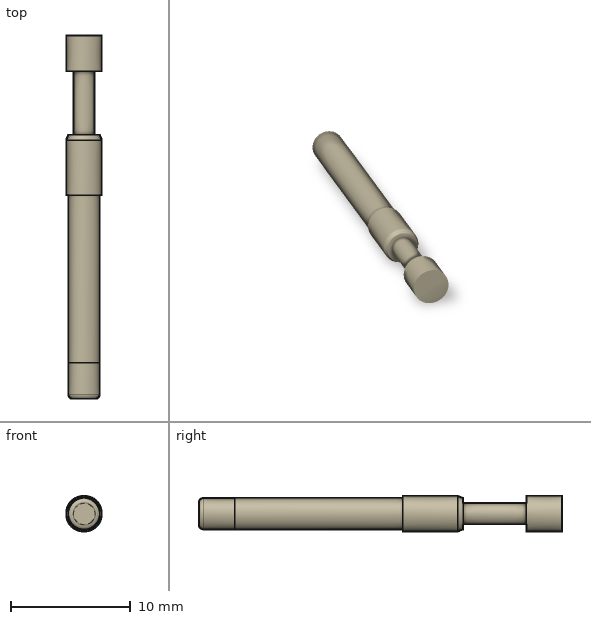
import cadquery as cq

total_length = 30.3

head_diameter = 3.0
head_length = 3.0
neck_diameter = 1.8
neck_length = 5.27

collar_diameter = head_diameter
collar_length = 5.03
collar_taper_length = 0.45
collar_mouth_diameter = 2.65

barrel_diameter = 2.67
tail_diameter = 2.65
tail_length = 3.0
tip_radius = 0.4

head_start = total_length - head_length
collar_end = head_start - neck_length
collar_start = collar_end - collar_length


def cylinder(diameter, start, end):
    """Solid cylinder on the Y axis, from y = start to y = end."""
    return (
        cq.Workplane("XZ", origin=(0, start, 0))
        .circle(diameter / 2)
        .extrude(start - end)
    )


def make_barrel():
    """Long barrel ending in a slightly thinner tail with a rounded tip."""
    tail = cylinder(tail_diameter, 0, tail_length)
    tail = tail.faces("<Y").edges().fillet(tip_radius)
    barrel = cylinder(barrel_diameter, tail_length, collar_start)
    return barrel.union(tail)


def make_collar():
    """Collar with a taper that narrows toward the plunger."""
    radial_taper = (collar_diameter - collar_mouth_diameter) / 2
    collar = cylinder(collar_diameter, collar_start, collar_end)
    return collar.faces(">Y").chamfer(collar_taper_length, radial_taper)


def make_plunger():
    """Slim neck carrying the wide head."""
    neck = cylinder(neck_diameter, collar_end, head_start)
    head = cylinder(head_diameter, head_start, total_length)
    return neck.union(head)


result = make_barrel().union(make_collar()).union(make_plunger())